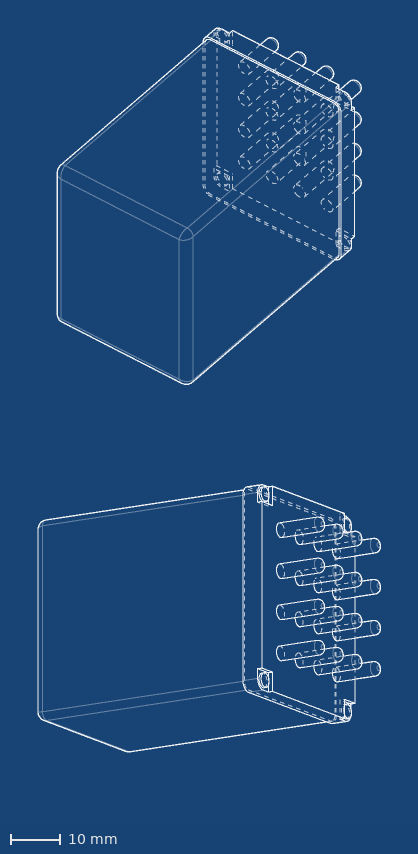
import cadquery as cq


case_width = 34.0
case_height = 41.5
case_length = 50.0
case_side_radius = 1.5
case_front_radius = 2.0

base_overhang = 0.5
base_width = case_width + 2 * base_overhang
base_height = case_height + 2 * base_overhang
base_thickness = 4.5
base_corner_radius = case_side_radius + base_overhang

notch_size = 4.0
notch_depth = 1.0
foot_diameter = 3.0
foot_height = 0.5

pin_diameter = 3.0
pin_length = 10.0
pin_tip_radius = 1.0
pin_columns = 4
pin_rows = 4
pin_pitch_x = 7.0
pin_pitch_z = 8.5


def plane_at(y):
    """Workplane parallel to XZ at the given Y, with its normal toward +Y."""
    return cq.Workplane(cq.Plane(origin=(0, y, 0), xDir=(-1, 0, 0), normal=(0, 1, 0)))


def make_case():
    block = plane_at(-base_thickness - case_length).rect(case_width, case_height).extrude(case_length)
    block = block.edges("|Y").fillet(case_side_radius)
    return block.faces("<Y").edges().fillet(case_front_radius)


def make_base():
    block = plane_at(-base_thickness).rect(base_width, base_height).extrude(base_thickness)
    return block.edges("|Y").fillet(base_corner_radius)


def corner_grid():
    """Workplane on the notch floor with the four notch centres selected."""
    return plane_at(-notch_depth).rarray(base_width - notch_size, base_height - notch_size, 2, 2)


def make_notches():
    return corner_grid().rect(notch_size, notch_size).extrude(notch_depth)


def make_feet():
    return corner_grid().circle(foot_diameter / 2).extrude(foot_height)


def make_pins():
    pins = plane_at(0).rarray(pin_pitch_x, pin_pitch_z, pin_columns, pin_rows)
    pins = pins.circle(pin_diameter / 2).extrude(pin_length)
    return pins.faces(">Y").edges().fillet(pin_tip_radius)


result = make_base().cut(make_notches()).union(make_feet()).union(make_case()).union(make_pins())